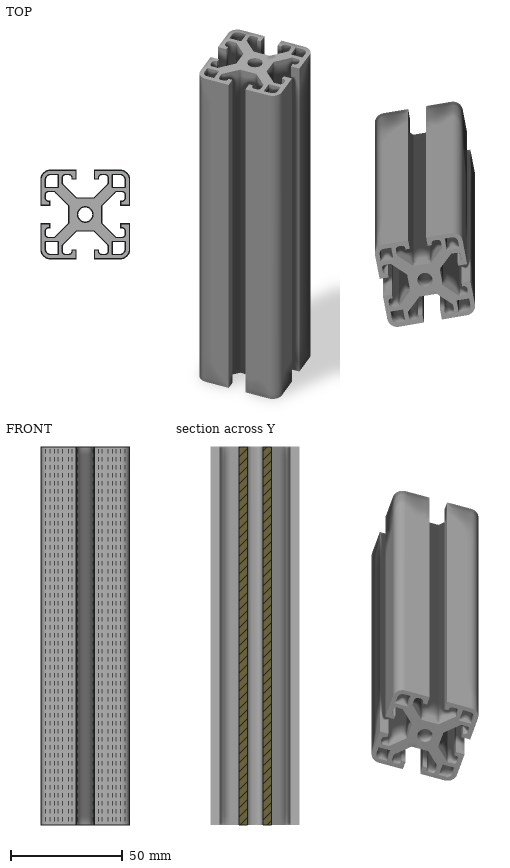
import cadquery as cq

SIDE = 40.0
LENGTH = 170.0
CORNER_RADIUS = 4.5
WALL = 2.05
SLOT_OPENING = 8.2
LIP_DEPTH = 4.1
LIP_THICKNESS = 1.9
CHAMBER_WIDTH = 20.6
GROOVE_RADIUS = 1.5
CORE_SIDE = 14.9
CORE_FLAT = 7.9
RIB = 1.9
CORE_BORE = 6.8

half_side = SIDE / 2
half_opening = SLOT_OPENING / 2
lip_inner = half_opening + LIP_THICKNESS
half_chamber = CHAMBER_WIDTH / 2
lip_end = half_side - LIP_DEPTH
wall_inner = half_side - WALL
half_core = CORE_SIDE / 2
half_flat = CORE_FLAT / 2
arm_end = half_core + half_chamber - half_flat


def make_body():
    """Solid square bar with rounded long edges."""
    bar = cq.Workplane("XY").rect(SIDE, SIDE).extrude(LENGTH)
    return bar.edges("|Z").fillet(CORNER_RADIUS)


def make_slot():
    """T-slot cutter opening to +Y, with a rounded groove behind each lip."""
    right_half = [
        (half_opening, half_side),
        (half_opening, lip_end),
        (lip_inner, lip_end),
        (lip_inner, wall_inner),
        (half_chamber, wall_inner),
        (half_chamber, arm_end),
        (half_flat, half_core),
    ]
    left_half = [(-x, y) for x, y in reversed(right_half)]
    slot = cq.Workplane("XY").polyline(right_half + left_half).close().extrude(LENGTH)
    for x in (-half_chamber, -lip_inner, lip_inner, half_chamber):
        groove_corner = cq.selectors.NearestToPointSelector((x, wall_inner, LENGTH / 2))
        slot = slot.edges("|Z").edges(groove_corner).fillet(GROOVE_RADIUS)
    return slot


def make_corner_hollow():
    """Hollow of the +X +Y corner, its outer edge concentric with the corner."""
    near = half_chamber + RIB
    size = wall_inner - near
    centre = near + size / 2
    hollow = cq.Workplane("XY").center(centre, centre).rect(size, size).extrude(LENGTH)
    return hollow.edges("|Z").edges(">(1, 1, 0)").fillet(CORNER_RADIUS - WALL)


def cut_around(body, cutter):
    """Cut the same shape at all four quarter turns about Z."""
    for quarter in range(4):
        body = body.cut(cutter.rotate((0, 0, 0), (0, 0, 1), 90 * quarter))
    return body


result = make_body()
result = cut_around(result, make_slot())
result = cut_around(result, make_corner_hollow())
result = result.faces(">Z").workplane(origin=(0, 0, LENGTH)).hole(CORE_BORE)